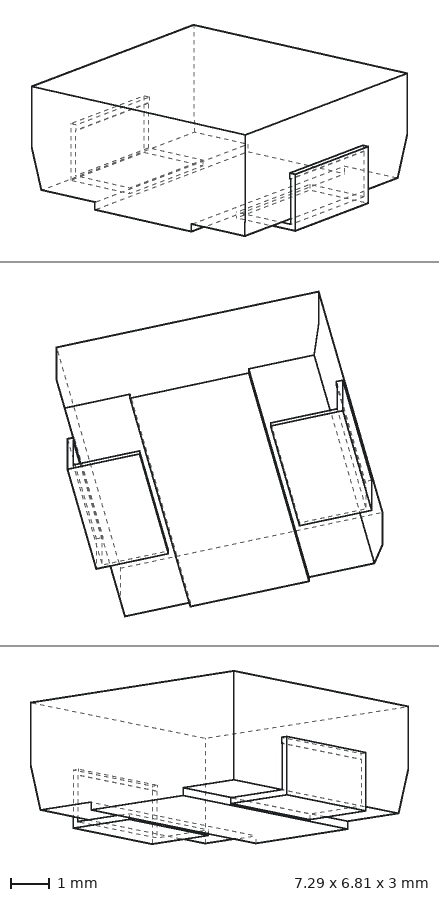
import cadquery as cq

overall_length = 7.29
overall_height = 3.0

housing_length = 6.94
housing_width = 6.81
base_length = 6.605
base_width = 6.43
base_height = 0.205
taper_top = 1.37

pad_length = 3.14

terminal_width = 3.08
terminal_height = 1.52
terminal_thickness = 0.15
foot_length = 1.91


def make_housing():
    upper = (
        cq.Workplane("XY")
        .workplane(offset=taper_top)
        .rect(housing_length, housing_width)
        .extrude(overall_height - taper_top)
    )
    taper = (
        cq.Workplane("XY")
        .workplane(offset=base_height)
        .rect(base_length, base_width)
        .workplane(offset=taper_top - base_height)
        .rect(housing_length, housing_width)
        .loft(ruled=True)
    )
    pad = cq.Workplane("XY").rect(pad_length, base_width).extrude(base_height)
    return upper.union(taper).union(pad)


def make_terminal(side):
    """Terminal at the -X end (side = -1) or the +X end (side = 1)."""
    outer_x = side * overall_length / 2
    leg_inner_x = outer_x - side * terminal_thickness
    contact_x = side * housing_length / 2
    foot_end_x = outer_x - side * foot_length
    profile = [
        (outer_x, 0),
        (outer_x, terminal_height),
        (contact_x, terminal_height),
        (contact_x, taper_top),
        (leg_inner_x, taper_top),
        (leg_inner_x, terminal_thickness),
        (foot_end_x, terminal_thickness),
        (foot_end_x, 0),
    ]
    return cq.Workplane("XZ").polyline(profile).close().extrude(terminal_width / 2, both=True)


housing = make_housing()
terminals = [make_terminal(side) for side in (-1, 1)]

result = cq.Compound.makeCompound([housing.val(), *[terminal.val() for terminal in terminals]])